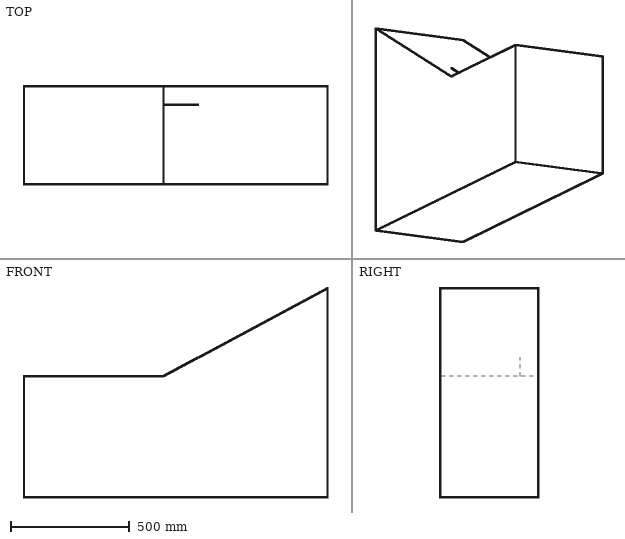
import cadquery as cq
import math

length = 1278.0
width = 414.0
low_height = 510.0
tall_height = 880.0
flat_length = 588.0

strip_length = 165.0
strip_width = 1.0
strip_rise = 1.0
strip_embed = 6.0
strip_inset = 78.0

ramp_angle = math.degrees(math.atan2(tall_height - low_height, length - flat_length))


def make_body():
    return (
        cq.Workplane("XZ")
        .polyline([
            (0, 0),
            (length, 0),
            (length, tall_height),
            (flat_length, low_height),
            (0, low_height),
        ])
        .close()
        .extrude(-width)
    )


def make_strip():
    """Strip built flat at the foot of the ramp, then tilted to lie along it."""
    foot_start = (flat_length, 0, low_height)
    foot_end = (flat_length, width, low_height)
    return (
        cq.Workplane("XY")
        .box(strip_length, strip_width, strip_embed + strip_rise, centered=(False, True, False))
        .translate((flat_length, width - strip_inset, low_height - strip_embed))
        .rotate(foot_start, foot_end, -ramp_angle)
    )


result = make_body().union(make_strip())